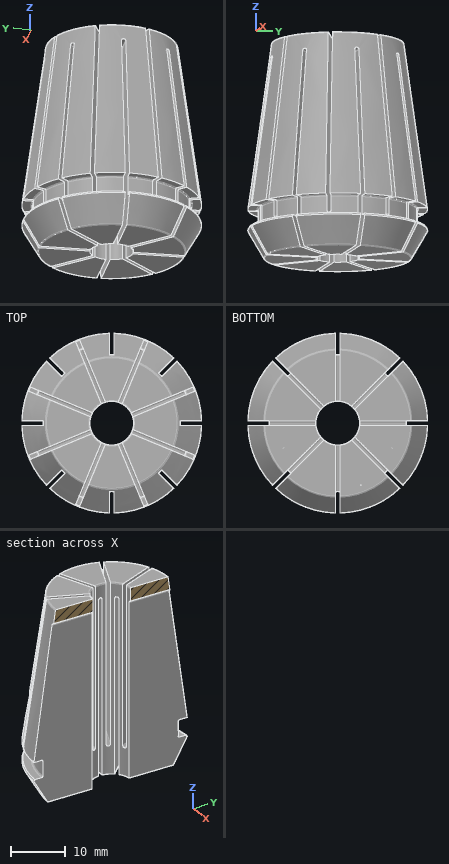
import cadquery as cq
import math

LENGTH = 40.0
MAX_RADIUS = 16.5
BORE_RADIUS = 4.0

COLLAR_TOP_Z = 5.5
COLLAR_ANGLE = 30.0

GROOVE_TOP_Z = 9.1
GROOVE_RADIUS = 14.6

TAPER_ANGLE = 8.0

RIM_CHAMFER = 0.4

EDGE_FILLET = 0.2

SLOT_COUNT = 8
SLOT_WIDTH = 0.8
LOWER_SLOT_END_Z = 37.1
UPPER_SLOT_END_Z = 5.9

collar_angle = math.radians(COLLAR_ANGLE)
rim_sharp_radius = MAX_RADIUS + RIM_CHAMFER * math.sin(collar_angle)
collar_bottom_radius = rim_sharp_radius - COLLAR_TOP_Z * math.tan(collar_angle)

small_end_radius = MAX_RADIUS - (LENGTH - GROOVE_TOP_Z) * math.tan(math.radians(TAPER_ANGLE))

slot_pitch = 360.0 / SLOT_COUNT


def make_sharp_body():
    """Revolve the half section of the bored collet about Z, all edges sharp."""
    section = [
        (BORE_RADIUS, 0),
        (collar_bottom_radius, 0),
        (rim_sharp_radius, COLLAR_TOP_Z),
        (GROOVE_RADIUS, COLLAR_TOP_Z),
        (GROOVE_RADIUS, GROOVE_TOP_Z),
        (MAX_RADIUS, GROOVE_TOP_Z),
        (small_end_radius, LENGTH),
        (BORE_RADIUS, LENGTH),
    ]
    return cq.Workplane("XZ").polyline(section).close().revolve(360, (0, 0, 0), (0, 1, 0))


def select_edge(body, edge_radius, edge_z):
    """Select the circular edge of the given radius at the given height."""
    tolerance = 1e-3

    def is_wanted(edge):
        same_radius = abs(edge.radius() - edge_radius) < tolerance
        return same_radius and abs(edge.Center().z - edge_z) < tolerance

    return body.edges("%CIRCLE").filter(is_wanted)


def break_edges(body):
    """Chamfer the collar rim, then round the remaining edges and the groove corners."""
    body = select_edge(body, rim_sharp_radius, COLLAR_TOP_Z).chamfer(RIM_CHAMFER)
    rounded_circles = [
        (collar_bottom_radius, 0),
        (GROOVE_RADIUS, COLLAR_TOP_Z),
        (GROOVE_RADIUS, GROOVE_TOP_Z),
        (small_end_radius, LENGTH),
        (BORE_RADIUS, LENGTH),
    ]
    for edge_radius, edge_z in rounded_circles:
        body = select_edge(body, edge_radius, edge_z).fillet(EDGE_FILLET)
    return body


def make_slot(open_z, round_end_z):
    """Radial saw cut along +X from the axis, open at open_z with a round tip at round_end_z."""
    half_width = SLOT_WIDTH / 2
    toward_tip = math.copysign(1, round_end_z - open_z)
    arc_start_z = round_end_z - toward_tip * half_width
    overshoot = SLOT_WIDTH
    mouth_z = open_z - toward_tip * overshoot
    return (
        cq.Workplane("YZ")
        .moveTo(-half_width, mouth_z)
        .lineTo(-half_width, arc_start_z)
        .threePointArc((0, round_end_z), (half_width, arc_start_z))
        .lineTo(half_width, mouth_z)
        .close()
        .extrude(MAX_RADIUS + overshoot)
    )


def cut_slots(body, slot, first_angle):
    """Cut the slot at every pitch angle around Z."""
    for index in range(SLOT_COUNT):
        angle = first_angle + index * slot_pitch
        body = body.cut(slot.rotate((0, 0, 0), (0, 0, 1), angle))
    return body


collet = break_edges(make_sharp_body())
collet = cut_slots(collet, make_slot(0, LOWER_SLOT_END_Z), 0)
collet = cut_slots(collet, make_slot(LENGTH, UPPER_SLOT_END_Z), slot_pitch / 2)

result = collet